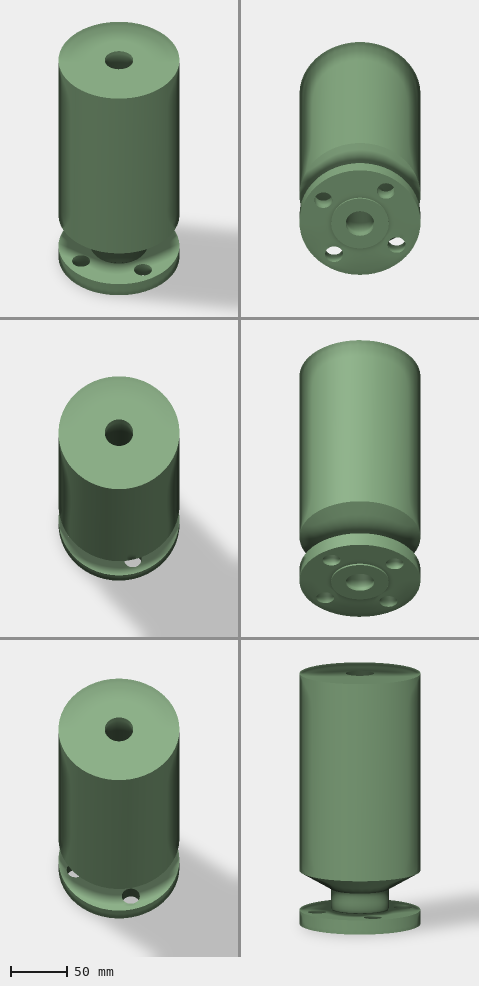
import cadquery as cq
import math

total_height = 228.5
body_diameter = 108.0
neck_diameter = 51.5
bore_diameter = 25.4

raised_face_height = 1.5
flange_thickness = 12.8
neck_foot_height = 0.7
neck_end_chamfer = 0.7
cone_bottom_z = 33.5
cone_angle = 30.0

bolt_hole_diameter = 16.0
bolt_circle_diameter = 80.0
bolt_hole_count = 4

body_radius = body_diameter / 2
neck_radius = neck_diameter / 2
flange_top_z = raised_face_height + flange_thickness
neck_foot_radius = neck_radius - neck_end_chamfer
neck_foot_top_z = flange_top_z + neck_foot_height
cone_height = (body_radius - neck_radius) * math.tan(math.radians(cone_angle))
cone_top_z = cone_bottom_z + cone_height


def turned_shape():
    """Raised face, flange, neck, cone and cylindrical body as one revolved solid."""
    profile = [
        (0, 0),
        (neck_radius, 0),
        (neck_radius, raised_face_height),
        (body_radius, raised_face_height),
        (body_radius, flange_top_z),
        (neck_foot_radius, flange_top_z),
        (neck_foot_radius, neck_foot_top_z),
        (neck_radius, neck_foot_top_z + neck_end_chamfer),
        (neck_radius, cone_bottom_z),
        (body_radius, cone_top_z),
        (body_radius, total_height),
        (0, total_height),
    ]
    return cq.Workplane("XZ").polyline(profile).close().revolve(360, (0, 0), (0, 1))


def central_bore():
    """Straight bore through the full height."""
    return cq.Workplane("XY").circle(bore_diameter / 2).extrude(total_height)


def bolt_holes():
    """Evenly spaced holes through the flange."""
    return (
        cq.Workplane("XY")
        .polarArray(bolt_circle_diameter / 2, 0, 360, bolt_hole_count)
        .circle(bolt_hole_diameter / 2)
        .extrude(flange_top_z)
    )


result = turned_shape().cut(central_bore()).cut(bolt_holes())